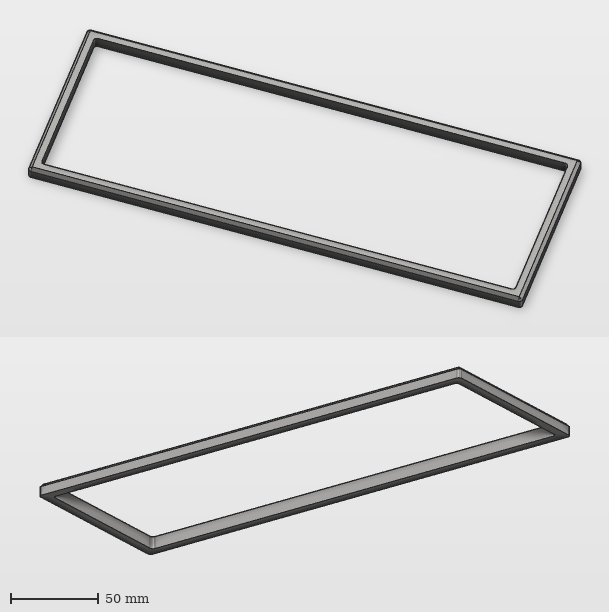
import cadquery as cq

LENGTH = 298.7
WIDTH = 108.2
HEIGHT = 7.5

WALL = 6.0
BEVEL = 2.0
BEVEL_ANGLE = 45.0

OUTER_CORNER_RADIUS = BEVEL
INNER_CORNER_RADIUS = 2.0


def rounded_block(length, width, height, corner_radius):
    """Block standing on Z = 0 with rounded vertical edges."""
    block = cq.Workplane("XY").box(length, width, height, centered=(True, True, False))
    return block.edges("|Z").fillet(corner_radius)


def outer_body():
    """Straight-sided block topped by a bevelled layer that slopes inward all round."""
    straight_sides = rounded_block(LENGTH, WIDTH, HEIGHT - BEVEL, OUTER_CORNER_RADIUS)
    top_outline = straight_sides.faces(">Z").wires().toPending().workplane()
    return top_outline.extrude(BEVEL, taper=BEVEL_ANGLE)


def window():
    """Through opening that leaves an even wall on all four sides."""
    return rounded_block(LENGTH - 2 * WALL, WIDTH - 2 * WALL, HEIGHT, INNER_CORNER_RADIUS)


result = outer_body().cut(window())